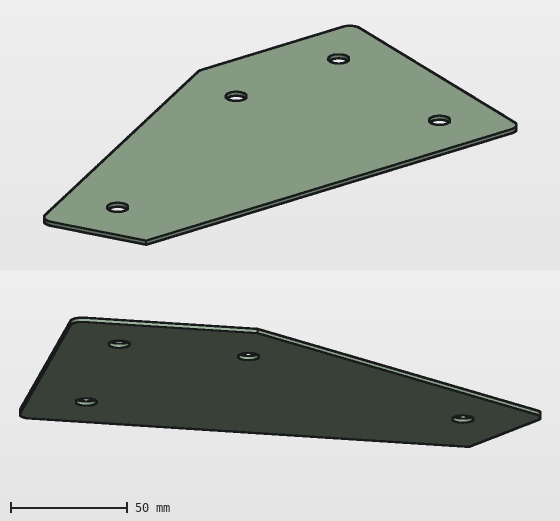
import cadquery as cq
import math

width = 125.0
length = 220.3
thickness = 2.0
corner_radius = 5.0

slant = math.radians(60)
left_side_length = 80.6

hole_diameter = 9.0
edge_inset = 25.0
slant_hole_pitch = 121.5

half_width = width / 2
top = length / 2
along = (math.cos(slant), -math.sin(slant))
inward = (math.sin(slant), math.cos(slant))

rounding_loss = corner_radius * (math.sin(slant) + math.cos(slant) - 1)
tip_y = -top - rounding_loss
slant_start = (-half_width, top - left_side_length)
slant_length = (slant_start[1] - tip_y) / math.sin(slant)
tip = (slant_start[0] + slant_length * along[0], tip_y)
right_bottom = (half_width, tip_y + (half_width - tip[0]) / math.tan(slant))


def make_plate():
    """Five-sided plate with rounded top corners and a rounded tip."""
    outline = [(-half_width, top), (half_width, top), right_bottom, tip, slant_start]
    plate = cq.Workplane("XY").polyline(outline).close().extrude(thickness)
    for x, y in [(-half_width, top), (half_width, top), tip]:
        corner = cq.selectors.NearestToPointSelector((x, y, thickness / 2))
        plate = plate.edges("|Z").edges(corner).fillet(corner_radius)
    return plate


def slant_hole(distance_from_tip):
    """Centre of a hole beside the slanted edge, measured back from the tip."""
    return tuple(
        tip[i] - distance_from_tip * along[i] + edge_inset * inward[i] for i in range(2)
    )


hole_centres = [
    (-half_width + edge_inset, top - edge_inset),
    (half_width - edge_inset, top - edge_inset),
    slant_hole(edge_inset),
    slant_hole(edge_inset + slant_hole_pitch),
]

result = (
    make_plate()
    .faces(">Z")
    .workplane(origin=(0, 0, thickness))
    .pushPoints(hole_centres)
    .hole(hole_diameter)
)